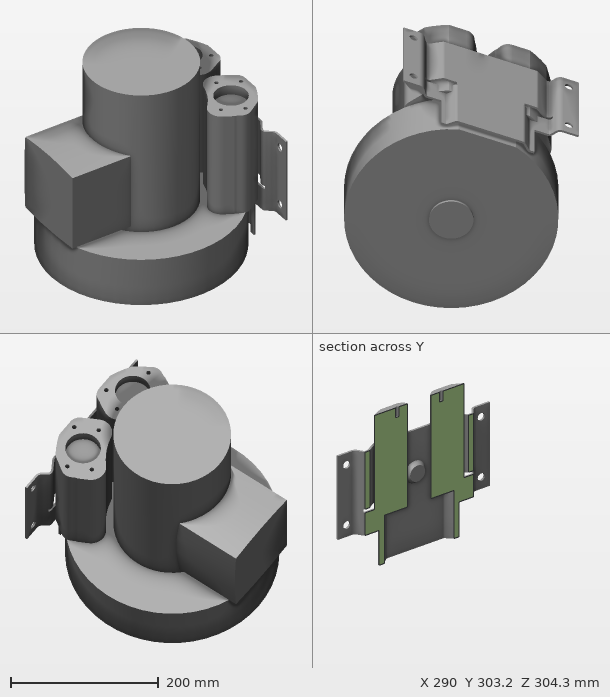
import cadquery as cq
import math

TOTAL_HEIGHT = 304.3

FOOT_RADIUS = 30.0
FOOT_HEIGHT = 3.5
CASING_RADIUS = 145.0
CASING_HEIGHT = 75.0
CASING_TOP = FOOT_HEIGHT + CASING_HEIGHT
CASING_BACK_FLAT_Y = 139.0

MOTOR_RADIUS = 79.7
BOX_SIDE = 116.2
BOX_CENTRE_Z = 145.5
BOX_FRONT_Y = -149.7
BOX_TOP_BULGE = 3.5
BOX_BOTTOM_BULGE = 3.0
BOX_LEFT_BULGE = 2.7

TOWER_TOP = 240.0
TOWER_SWING = 27.8
SHOULDER_HALF_WIDTH = 48.0
LOBE_HALF_WIDTH = 48.7
STEP_TOP_Y = 124.8
STEP_BOTTOM_Y = 122.0
TOWER_OUTER_RADIUS = 158.2
TOWER_INNER_RADIUS = 90.0
LOBE_RADIUS = 20.7
TOWER_BACK_Y = 147.0
SHOULDER_RADIUS = 15.2
PORT_DISTANCE = 122.0
PORT_RADIUS = 24.0
PORT_DEPTH = 15.2
BOLT_CIRCLE_RADIUS = 36.0
BOLT_HOLE_RADIUS = 3.0
BOLT_HOLE_ANGLE = 90.0 - TOWER_SWING

SHEET = 3.0
BEND_INNER_RADIUS = 3.0
WING_BEND_INNER_RADIUS = 7.5
BRACKET_BOTTOM = 57.8
BRACKET_TOP = 188.0
BACK_Y = 149.7
WING_Y = 152.0
DIP_Y = 139.7
WING_TIP_X = 127.0
WING_BEND_X = 99.0
DIP_OUTER_X = 90.0
DIP_INNER_X = 84.3
BACK_EDGE_X = 67.5
HAT_TOP_X = 48.7
HAT_FOOT_X = 59.3
TAB_EDGE_X = 67.3
NOTCH_BOTTOM = 93.7
NOTCH_HEIGHT = 5.0
NOTCH_OUTER_X = 92.2
WING_HOLE_X = 112.3
WING_HOLE_RADIUS = 5.8
WING_HOLE_SPACING = 93.7
BRACKET_CENTRE_Z = (BRACKET_BOTTOM + BRACKET_TOP) / 2

BUTTON_BASE_RADIUS = 18.3
BUTTON_TIP_RADIUS = 12.5
BUTTON_TIP_Y = 142.0


def cylinder(radius, bottom, top):
    return cq.Workplane("XY").workplane(offset=bottom).circle(radius).extrude(top - bottom)


def make_casing():
    """Round casing with a flat cut across its back."""
    casing = cylinder(CASING_RADIUS, FOOT_HEIGHT, CASING_TOP)
    keep_depth = CASING_BACK_FLAT_Y + CASING_RADIUS
    keep = cq.Workplane("XY").box(
        2 * CASING_RADIUS, keep_depth, TOTAL_HEIGHT, centered=(True, False, False)
    )
    return casing.intersect(keep.translate((0, -CASING_RADIUS, 0)))


def make_terminal_box():
    """Box from the motor axis to the front; three of its four sides bulge slightly."""
    half = BOX_SIDE / 2
    return (
        cq.Workplane("XZ", origin=(0, 0, BOX_CENTRE_Z))
        .moveTo(half, -half)
        .lineTo(half, half)
        .threePointArc((0, half + BOX_TOP_BULGE), (-half, half))
        .threePointArc((-half - BOX_LEFT_BULGE, 0), (-half, -half))
        .threePointArc((0, -half - BOX_BOTTOM_BULGE), (half, -half))
        .close()
        .extrude(-BOX_FRONT_Y)
    )


def make_tower():
    """Port tower on the left: lobed outline, blind port and four blind bolt holes."""
    lobe_x = LOBE_HALF_WIDTH - LOBE_RADIUS
    lobe_distance = TOWER_INNER_RADIUS + LOBE_RADIUS
    lobe_y = math.sqrt(lobe_distance**2 - lobe_x**2)

    touch_x = lobe_x * TOWER_INNER_RADIUS / lobe_distance
    touch_y = lobe_y * TOWER_INNER_RADIUS / lobe_distance
    touch_angle = math.atan2(-lobe_y, -lobe_x)
    middle_angle = touch_angle / 2
    lobe_middle_x = lobe_x + LOBE_RADIUS * math.cos(middle_angle)
    lobe_middle_y = lobe_y + LOBE_RADIUS * math.sin(middle_angle)

    flat_angle = math.pi / 2 - math.radians(TOWER_SWING)
    crown_angle = flat_angle + math.acos(TOWER_BACK_Y / TOWER_OUTER_RADIUS)
    crown_x = TOWER_OUTER_RADIUS * math.cos(crown_angle)
    crown_y = TOWER_OUTER_RADIUS * math.sin(crown_angle)

    shoulder_x = SHOULDER_HALF_WIDTH - SHOULDER_RADIUS
    flat_offset = TOWER_BACK_Y - SHOULDER_RADIUS
    shoulder_y = (flat_offset - shoulder_x * math.cos(flat_angle)) / math.sin(flat_angle)
    shoulder_end_x = shoulder_x + SHOULDER_RADIUS * math.cos(flat_angle)
    shoulder_end_y = shoulder_y + SHOULDER_RADIUS * math.sin(flat_angle)
    shoulder_middle_x = shoulder_x + SHOULDER_RADIUS * math.cos(flat_angle / 2)
    shoulder_middle_y = shoulder_y + SHOULDER_RADIUS * math.sin(flat_angle / 2)

    tower = (
        cq.Workplane("XY", origin=(0, 0, CASING_TOP))
        .moveTo(-touch_x, touch_y)
        .threePointArc((0, TOWER_INNER_RADIUS), (touch_x, touch_y))
        .threePointArc((lobe_middle_x, lobe_middle_y), (LOBE_HALF_WIDTH, lobe_y))
        .lineTo(LOBE_HALF_WIDTH, STEP_BOTTOM_Y)
        .lineTo(SHOULDER_HALF_WIDTH, STEP_TOP_Y)
        .lineTo(SHOULDER_HALF_WIDTH, shoulder_y)
        .threePointArc((shoulder_middle_x, shoulder_middle_y), (shoulder_end_x, shoulder_end_y))
        .lineTo(crown_x, crown_y)
        .threePointArc((0, TOWER_OUTER_RADIUS), (-crown_x, crown_y))
        .lineTo(-shoulder_end_x, shoulder_end_y)
        .threePointArc((-shoulder_middle_x, shoulder_middle_y), (-SHOULDER_HALF_WIDTH, shoulder_y))
        .lineTo(-SHOULDER_HALF_WIDTH, STEP_TOP_Y)
        .lineTo(-LOBE_HALF_WIDTH, STEP_BOTTOM_Y)
        .lineTo(-LOBE_HALF_WIDTH, lobe_y)
        .threePointArc((-lobe_middle_x, lobe_middle_y), (-touch_x, touch_y))
        .close()
        .extrude(TOWER_TOP - CASING_TOP)
    )

    bolt_x = BOLT_CIRCLE_RADIUS * math.sin(math.radians(BOLT_HOLE_ANGLE))
    bolt_y = BOLT_CIRCLE_RADIUS * math.cos(math.radians(BOLT_HOLE_ANGLE))
    port_floor = cq.Workplane("XY", origin=(0, PORT_DISTANCE, TOWER_TOP - PORT_DEPTH))
    port = port_floor.circle(PORT_RADIUS).extrude(PORT_DEPTH)
    bolts = port_floor.rect(2 * bolt_x, 2 * bolt_y, forConstruction=True).vertices()
    bolts = bolts.circle(BOLT_HOLE_RADIUS).extrude(PORT_DEPTH)
    tower = tower.cut(port).cut(bolts)
    return tower.rotate((0, 0, 0), (0, 0, 1), TOWER_SWING)


def bent_sheet(half_path, bottom, top):
    """Sheet standing on XY, mirrored about X = 0, with a rounded bend at each corner."""
    path = [(-x, y) for x, y in reversed(half_path)] + half_path
    directions = []
    for (x0, y0), (x1, y1) in zip(path, path[1:]):
        directions.append(math.atan2(y1 - y0, x1 - x0))
    before = [directions[0]] + directions
    after = directions + [directions[-1]]

    back = []
    front = []
    for (x, y), angle_in, angle_out in zip(path, before, after):
        mitre = (angle_in + angle_out) / 2 + math.pi / 2
        reach = SHEET / 2 / math.cos((angle_out - angle_in) / 2)
        step_x = reach * math.cos(mitre)
        step_y = reach * math.sin(mitre)
        back.append((x + step_x, y + step_y))
        front.append((x - step_x, y - step_y))

    outline = back + front[::-1]
    sheet = cq.Workplane("XY", origin=(0, 0, bottom)).polyline(outline).close().extrude(top - bottom)
    middle_z = (bottom + top) / 2
    for i in range(1, len(path) - 1):
        inside = WING_BEND_INNER_RADIUS if abs(path[i][0]) == WING_BEND_X else BEND_INNER_RADIUS
        inner, outer = (back[i], front[i]) if after[i] > before[i] else (front[i], back[i])
        for (x, y), radius in ((inner, inside), (outer, inside + SHEET)):
            corner = cq.selectors.NearestToPointSelector((x, y, middle_z))
            sheet = sheet.edges("|Z").edges(corner).fillet(radius)
    return sheet


def make_bracket():
    """Winged back plate over a hat-shaped lower part, parted at each side by a notch."""
    wing = [(DIP_OUTER_X, DIP_Y), (WING_BEND_X, WING_Y), (WING_TIP_X, WING_Y)]
    plate = [(BACK_EDGE_X, BACK_Y), (DIP_INNER_X, DIP_Y)]
    hat = [(HAT_TOP_X, BACK_Y), (HAT_FOOT_X, DIP_Y)]
    upper = bent_sheet(plate + wing, NOTCH_BOTTOM, BRACKET_TOP)
    lower = bent_sheet(hat + wing, BRACKET_BOTTOM, NOTCH_BOTTOM)
    tab = bent_sheet(hat + [(TAB_EDGE_X, DIP_Y)], FOOT_HEIGHT, BRACKET_BOTTOM)
    bracket = upper.union(lower).union(tab)

    notch_width = NOTCH_OUTER_X - HAT_TOP_X
    notch_x = (NOTCH_OUTER_X + HAT_TOP_X) / 2
    notch_y = (DIP_Y + BACK_Y) / 2
    notch_depth = BACK_Y - DIP_Y + 2 * SHEET
    notches = (
        cq.Workplane("XY", origin=(0, notch_y, NOTCH_BOTTOM))
        .pushPoints([(-notch_x, 0), (notch_x, 0)])
        .rect(notch_width, notch_depth)
        .extrude(NOTCH_HEIGHT)
    )
    holes = (
        cq.Workplane("XZ", origin=(0, WING_Y - SHEET, BRACKET_CENTRE_Z))
        .rect(2 * WING_HOLE_X, WING_HOLE_SPACING, forConstruction=True)
        .vertices()
        .circle(WING_HOLE_RADIUS)
        .extrude(-2 * SHEET)
    )
    return bracket.cut(notches).cut(holes)


def make_button():
    """Cone frustum from the bracket toward the motor."""
    return (
        cq.Workplane("XZ", origin=(0, BACK_Y, BRACKET_CENTRE_Z))
        .circle(BUTTON_BASE_RADIUS)
        .workplane(offset=BACK_Y - BUTTON_TIP_Y)
        .circle(BUTTON_TIP_RADIUS)
        .loft()
    )


tower_left = make_tower()
tower_right = tower_left.mirror("YZ")

result = (
    make_casing()
    .union(cylinder(FOOT_RADIUS, 0, FOOT_HEIGHT))
    .union(cylinder(MOTOR_RADIUS, CASING_TOP, TOTAL_HEIGHT))
    .union(make_terminal_box())
    .union(tower_left)
    .union(tower_right)
    .union(make_bracket())
    .union(make_button())
)